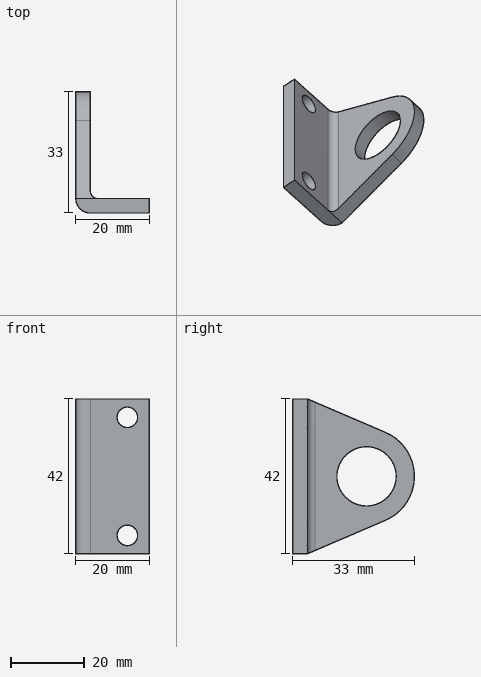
import cadquery as cq
import math

thickness = 4.0
flange_width = 20.0
height = 42.0
bend_outer_radius = 4.0
bend_inner_radius = 2.0

bore_diameter = 16.0
bore_y = 20.0
lug_radius = 13.0

mount_hole_diameter = 5.5
mount_hole_x = 14.0
mount_hole_spacing = 32.0

half_height = height / 2
depth = bore_y + lug_radius

corner_dy = thickness - bore_y
corner_distance = math.hypot(corner_dy, half_height)
corner_angle = math.atan2(half_height, corner_dy)
tangent_angle = corner_angle - math.acos(lug_radius / corner_distance)
tangent_y = bore_y + lug_radius * math.cos(tangent_angle)
tangent_z = lug_radius * math.sin(tangent_angle)


def bent_angle():
    """L-shaped section with a rounded bend, extruded over the full height."""
    section = (
        cq.Workplane("XY")
        .workplane(offset=-half_height)
        .polyline([
            (0, 0),
            (flange_width, 0),
            (flange_width, thickness),
            (thickness, thickness),
            (thickness, depth),
            (0, depth),
        ])
        .close()
        .extrude(height)
    )
    outer_edge = cq.selectors.NearestToPointSelector((0, 0, 0))
    inner_edge = cq.selectors.NearestToPointSelector((thickness, thickness, 0))
    rounded = section.edges("|Z").edges(outer_edge).fillet(bend_outer_radius)
    return rounded.edges("|Z").edges(inner_edge).fillet(bend_inner_radius)


def lug_envelope():
    """Side outline: full height at the flange, tapering to the rounded end."""
    return (
        cq.Workplane("YZ")
        .moveTo(0, -half_height)
        .lineTo(thickness, -half_height)
        .lineTo(tangent_y, -tangent_z)
        .threePointArc((depth, 0), (tangent_y, tangent_z))
        .lineTo(thickness, half_height)
        .lineTo(0, half_height)
        .close()
        .extrude(flange_width)
    )


def bore():
    """Large hole through the lug, along X."""
    return (
        cq.Workplane("YZ")
        .center(bore_y, 0)
        .circle(bore_diameter / 2)
        .extrude(thickness)
    )


def mount_holes():
    """Pair of holes through the flange, along Y."""
    hole_centers = [(mount_hole_x, side * mount_hole_spacing / 2) for side in (-1, 1)]
    return (
        cq.Workplane("XZ")
        .pushPoints(hole_centers)
        .circle(mount_hole_diameter / 2)
        .extrude(-thickness)
    )


bracket = bent_angle().intersect(lug_envelope())
result = bracket.cut(bore()).cut(mount_holes())